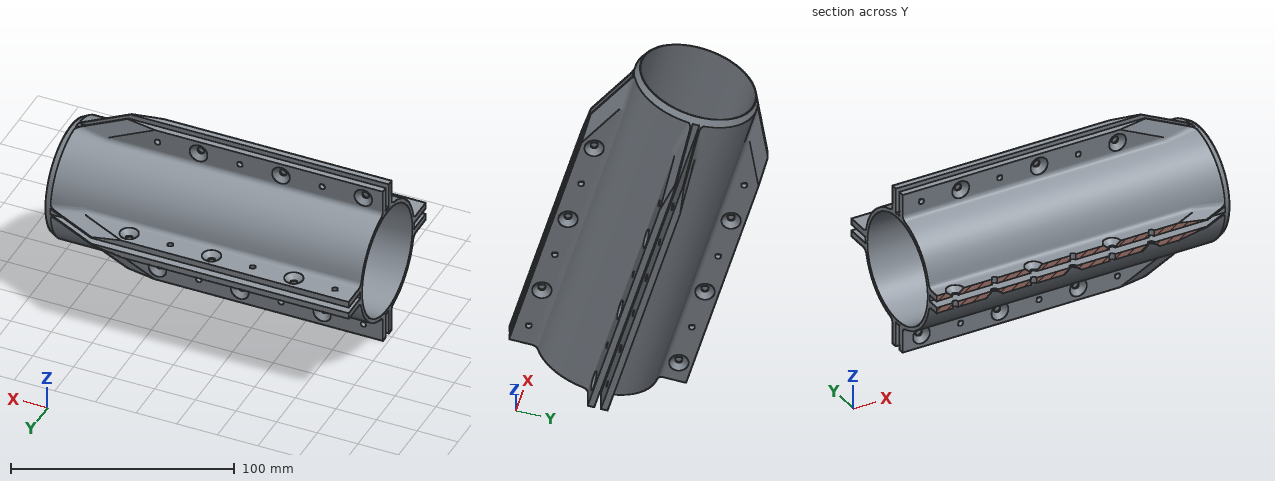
import cadquery as cq
import math

length = 155.8
bore_radius = 27.0
tube_radius = 28.8

fin_pairs = 4
fin_span = 82.7
fin_tip = fin_span / 2
fin_thickness = 3.1
fin_gap = 3.1
fin_inner = fin_gap / 2
fin_outer = fin_inner + fin_thickness
root_fillet = 2.8

nose_start = 126.8
nose_end_radius = 27.3
nose_slope = (fin_tip - nose_end_radius) / (length - nose_start)

bevel_length = 14.6
nose_fin_thickness = 0.55
bevel_start = nose_start - bevel_length

hole_count = 6
first_hole_x = 9.7
hole_pitch = 20.2
hole_radius_from_axis = 35.0
tapped_diameter = 2.6
clearance_diameter = 3.3
sink_diameter = 8.7
sink_depth = 2.3

overrun = 1.5
edge_tolerance = 0.02


def rotated(shape, index):
    """Turn a shape about the tube axis to the place of fin pair number index."""
    return shape.rotate((0, 0, 0), (1, 0, 0), index * 360 / fin_pairs)


def bevel_cutter(side):
    """Wedge outside the bevel plane, on the +Y (side = 1) or -Y (side = -1) face of a +Z fin pair."""
    bevel_rate = (fin_thickness - nose_fin_thickness) / bevel_length
    run = 2 * length
    profile = [
        (bevel_start, side * fin_outer),
        (bevel_start + run, side * (fin_outer - bevel_rate * run)),
        (bevel_start + run, side * fin_outer),
    ]
    tip_outline = cq.Wire.makePolygon([cq.Vector(x, y, fin_tip) for x, y in profile], close=True)
    sweep = cq.Vector(fin_tip / nose_slope, 0, -fin_tip)
    return cq.Workplane(obj=cq.Solid.extrudeLinear(tip_outline, [], sweep))


def fin_block():
    """Solid +Z block that becomes one fin pair, bevelled on both faces."""
    block = cq.Workplane("XY").box(
        length + overrun, 2 * fin_outer, fin_tip, centered=(False, True, False)
    )
    for side in (1, -1):
        block = block.cut(bevel_cutter(side))
    return block


def is_root_edge(edge):
    """True for the lengthwise edges where a fin block meets the tube."""
    start = edge.startPoint()
    end = edge.endPoint()
    points = [start, edge.positionAt(0.5), end]
    on_tube = all(math.isclose(math.hypot(p.y, p.z), tube_radius, abs_tol=edge_tolerance) for p in points)
    runs_lengthwise = abs(end.x - start.x) > edge_tolerance
    return on_tube and runs_lengthwise


def nose_envelope():
    """Solid of revolution that bounds the part and gives the nose its cone."""
    corner_radius = math.hypot(fin_tip, fin_outer) + overrun
    cone_start = length - (corner_radius - nose_end_radius) / nose_slope
    profile = [
        (0, 0),
        (length, 0),
        (length, nose_end_radius),
        (cone_start, corner_radius),
        (0, corner_radius),
    ]
    return cq.Workplane("XY").polyline(profile).close().revolve(360, (0, 0, 0), (1, 0, 0))


def slot_cutter():
    """Gap between the two +Z fins, with its floor on the tube surface."""
    gap = cq.Workplane("XY").box(
        length + overrun, fin_gap, fin_tip, centered=(False, True, False)
    )
    return gap.cut(cq.Workplane("YZ").circle(tube_radius).extrude(length + overrun))


def screw_hole_cutter(x, side):
    """Screw hole through a +Z fin pair, with its head on the +Y (side = 1) or -Y (side = -1) face."""
    profile = [
        (0, -fin_outer),
        (tapped_diameter / 2, -fin_outer),
        (tapped_diameter / 2, 0),
        (clearance_diameter / 2, 0),
        (clearance_diameter / 2, fin_outer - sink_depth),
        (sink_diameter / 2, fin_outer),
        (0, fin_outer),
    ]
    hole = cq.Workplane("XY").polyline(profile).close().revolve(360, (0, 0, 0), (0, 1, 0))
    if side < 0:
        hole = hole.mirror("XZ")
    return hole.translate((x, 0, hole_radius_from_axis))


body = cq.Workplane("YZ").circle(tube_radius).extrude(length + overrun)
for i in range(fin_pairs):
    body = body.union(rotated(fin_block(), i))
root_edges = [edge for edge in body.edges().vals() if is_root_edge(edge)]
body = body.newObject(root_edges).fillet(root_fillet)

body = body.intersect(nose_envelope())
body = body.cut(cq.Workplane("YZ").circle(bore_radius).extrude(length))

for i in range(fin_pairs):
    body = body.cut(rotated(slot_cutter(), i))
    for hole in range(hole_count):
        head_side = 1 if hole % 2 == 0 else -1
        hole_x = first_hole_x + hole * hole_pitch
        body = body.cut(rotated(screw_hole_cutter(hole_x, head_side), i))

result = body